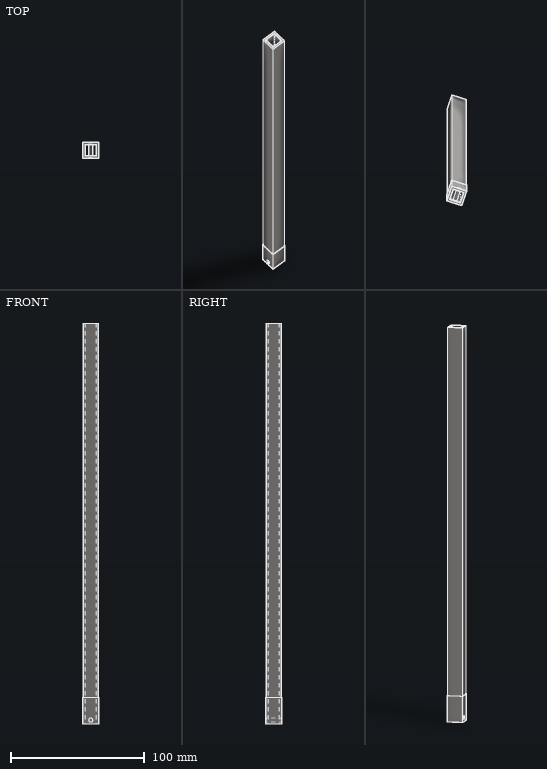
import cadquery as cq

tube_length = 300.0
sleeve_size = 12.0
sleeve_height = 20.0
sleeve_corner_radius = 0.25

tube_size = 11.5
liner_size = 8.6
liner_bore = 8.0
liner_bore_radius = 0.75

pin_diameter = 3.03
pin_length = 11.0
pin_height = 3.0


def square_bar(size, height, corner_radius=0.0):
    """Square bar standing on Z = 0, with optional rounded vertical edges."""
    bar = cq.Workplane("XY").rect(size, size).extrude(height)
    if corner_radius > 0:
        bar = bar.edges("|Z").fillet(corner_radius)
    return bar


def make_pin():
    """Round pin along Y, centred on the tube axis."""
    start = (0, pin_length / 2, pin_height)
    return cq.Workplane("XZ", origin=start).circle(pin_diameter / 2).extrude(pin_length)


def make_tube(pin):
    """Outer square tube, with matching seats for the pin ends."""
    tube = square_bar(tube_size, tube_length).cut(square_bar(liner_size, tube_length))
    return tube.cut(pin)


def make_liner(pin):
    """Thin inner tube filling the outer tube's bore, drilled for the pin."""
    bore = square_bar(liner_bore, tube_length, liner_bore_radius)
    return square_bar(liner_size, tube_length).cut(bore).cut(pin)


def make_sleeve():
    """Short sleeve around the bottom of the outer tube, covering the pin ends."""
    outside = square_bar(sleeve_size, sleeve_height, sleeve_corner_radius)
    return outside.cut(square_bar(tube_size, sleeve_height))


pin = make_pin()
tube = make_tube(pin)
liner = make_liner(pin)
sleeve = make_sleeve()

bodies = [tube, liner, sleeve, pin]
result = cq.Compound.makeCompound([body.solids().val() for body in bodies])